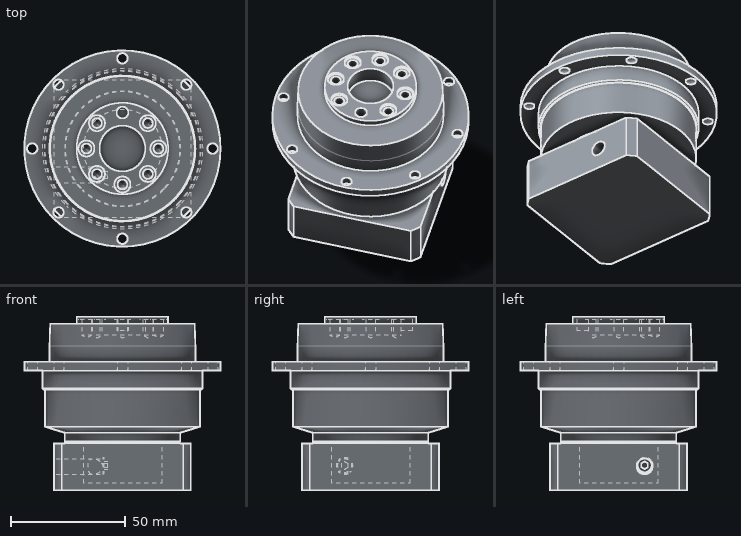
import cadquery as cq
import math

block_top_z = 20.55
seat_height = 0.5
joint_z = block_top_z + seat_height
cone_bottom_z = 25.2
cone_top_z = 27.9
shoulder_z = 43.95
flange_bottom_z = 52.4
flange_thickness = 3.95
flange_top_z = flange_bottom_z + flange_thickness
taper_start_z = 63.3
total_height = 76.0
output_boss_height = 3.0
housing_top_z = total_height - output_boss_height

flange_radius = 43.0
neck_radius = 25.4
joint_chamfer = 0.35
body_radius = 34.0
shoulder_radius = 35.1
shoulder_chamfer = 0.8
pilot_radius = 32.0
pilot_top_radius = 31.65
output_boss_radius = 20.0

mount_hole_count = 8
mount_circle_radius = 39.5
mount_hole_diameter = 4.5

bore_diameter = 20.0
bore_depth = 8.0
output_hole_count = 8
output_circle_radius = 15.7
thread_diameter = 4.3
thread_depth = 8.0
drill_point_angle = 118
recess_diameter = 7.05
recess_depth = 1.0
pin_hole_diameter = 5.2
pin_hole_depth = 6.0
pin_hole_angle = 90

block_width = 60.0
corner_radius = 40.1
access_hole_diameter = 6.9
access_y = -11.4
access_z = 10.5

hub_radius = 17.2
hub_bottom_z = 3.4
screw_rise = 0.5
screw_z = access_z + screw_rise
screw_face_x = -8.6
screw_head_diameter = 7.1
screw_head_chamfer = 0.5
socket_width = 2.9
socket_depth = 2.0


def circle_points(radius, angles):
    """Points at the given angles (degrees) on a circle about the main axis."""
    return [(radius * math.cos(math.radians(a)), radius * math.sin(math.radians(a))) for a in angles]


def drill(diameter, depth, top_z, points):
    """Vertical flat-bottomed cutters that go down from top_z."""
    return cq.Workplane("XY", origin=(0, 0, top_z)).pushPoints(points).circle(diameter / 2).extrude(-depth)


def side_cylinder(diameter, start_x, length, z):
    """Cylinder along +X from start_x, on the access hole's Y."""
    return cq.Workplane("YZ", origin=(start_x, access_y, z)).circle(diameter / 2).extrude(length)


def turned_gearbox():
    """Gearbox outside, with the hub below it, turned as one profile."""
    profile = [
        (0, hub_bottom_z),
        (hub_radius, hub_bottom_z),
        (hub_radius, joint_z),
        (neck_radius - joint_chamfer, joint_z),
        (neck_radius, joint_z + joint_chamfer),
        (neck_radius, cone_bottom_z),
        (body_radius, cone_top_z),
        (body_radius, shoulder_z),
        (shoulder_radius - shoulder_chamfer, shoulder_z),
        (shoulder_radius, shoulder_z + shoulder_chamfer),
        (shoulder_radius, flange_bottom_z),
        (flange_radius, flange_bottom_z),
        (flange_radius, flange_top_z),
        (pilot_radius, flange_top_z),
        (pilot_radius, taper_start_z),
        (pilot_top_radius, housing_top_z),
        (output_boss_radius, housing_top_z),
        (output_boss_radius, total_height),
        (0, total_height),
    ]
    return cq.Workplane("XZ").polyline(profile).close().revolve(360, (0, 0), (0, 1))


def mount_hole_cutters():
    """Through holes evenly spaced around the flange."""
    angles = [i * 360 / mount_hole_count for i in range(mount_hole_count)]
    points = circle_points(mount_circle_radius, angles)
    return drill(mount_hole_diameter, flange_thickness, flange_top_z, points)


def threaded_hole_cutter():
    """Recessed hole with a conical drill point, on the main axis."""
    radius = thread_diameter / 2
    floor_z = total_height - thread_depth
    recess_z = total_height - recess_depth
    point_height = radius / math.tan(math.radians(drill_point_angle / 2))
    profile = [
        (0, floor_z - point_height),
        (radius, floor_z),
        (radius, recess_z),
        (recess_diameter / 2, recess_z),
        (recess_diameter / 2, total_height),
        (0, total_height),
    ]
    return cq.Workplane("XZ").polyline(profile).close().revolve(360, (0, 0), (0, 1))


def cut_output_face(gearbox):
    """Central bore, pin hole and threaded holes in the output face."""
    gearbox = gearbox.cut(drill(bore_diameter, bore_depth, total_height, [(0, 0)]))
    pin_point = circle_points(output_circle_radius, [pin_hole_angle])
    gearbox = gearbox.cut(drill(pin_hole_diameter, pin_hole_depth, total_height, pin_point))
    angles = [pin_hole_angle + i * 360 / output_hole_count for i in range(1, output_hole_count)]
    for x, y in circle_points(output_circle_radius, angles):
        gearbox = gearbox.cut(threaded_hole_cutter().translate((x, y, 0)))
    return gearbox


def access_hole_cutter():
    """Hole from the -X side of the adapter to the clamp screw's face."""
    start_x = -block_width / 2
    return side_cylinder(access_hole_diameter, start_x, screw_face_x - start_x, access_z)


def screw_relief_cutter():
    """Material removed around the chamfered screw head, and its hexagon socket."""
    head_end = side_cylinder(screw_head_diameter, screw_face_x, screw_head_chamfer, screw_z)
    screw_face = cq.Workplane("YZ", origin=(screw_face_x, access_y, screw_z))
    chamfered_end = (
        screw_face.circle(screw_head_diameter / 2 - screw_head_chamfer)
        .extrude(screw_head_chamfer, taper=-45)
    )
    socket = (
        screw_face.polygon(6, socket_width, circumscribed=True)
        .extrude(socket_depth)
    )
    return head_end.cut(chamfered_end).union(socket)


def make_gearbox():
    """Gearbox with its input hub and clamp screw head, as one solid."""
    gearbox = turned_gearbox().cut(mount_hole_cutters())
    gearbox = cut_output_face(gearbox)
    return gearbox.cut(access_hole_cutter()).cut(screw_relief_cutter())


def make_adapter():
    """Square motor adapter with a low conical seat on top and a blind bore for the hub."""
    block = cq.Workplane("XY").rect(block_width, block_width).extrude(block_top_z)
    block = block.intersect(cq.Workplane("XY").circle(corner_radius).extrude(block_top_z))
    seat = (
        cq.Workplane("XY", origin=(0, 0, block_top_z))
        .circle(neck_radius)
        .workplane(offset=seat_height)
        .circle(neck_radius - joint_chamfer)
        .loft(ruled=True)
    )
    hub_bore = drill(2 * hub_radius, joint_z - hub_bottom_z, joint_z, [(0, 0)])
    return block.union(seat).cut(hub_bore).cut(access_hole_cutter())


gearbox = make_gearbox()
adapter = make_adapter()
result = cq.Compound.makeCompound([gearbox.solids().val(), adapter.solids().val()])